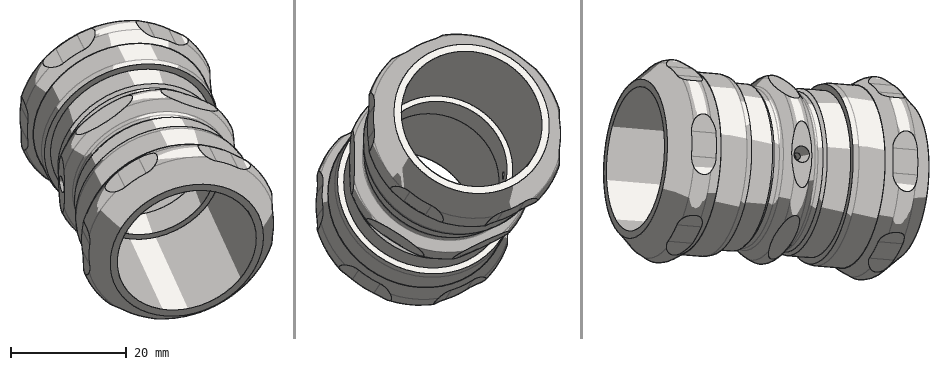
import cadquery as cq
import math

LENGTH = 49.3
HALF_LENGTH = LENGTH / 2

BODY_RADIUS = 29 / 2
NECK_RADIUS = 27.9 / 2
NECK_END_X = 4.6
COLLAR_CREST_RADIUS = 16.38
COLLAR_ROUND = 2.0
COLLAR_SLOPE = 45
COLLAR_ROOT_FILLET = 0.9
COLLAR_FLAT_DISTANCE = 15.3

NUT_RADIUS = 31.7 / 2
NUT_INNER_X = 9.56
NUT_LEAD_LENGTH = 1.0
NUT_LEAD_DROP = 0.25
RIM_START_X = 15.45
RIM_CREST_X = 19.1
RIM_CREST_RADIUS = 35.19 / 2
RIM_ROUND = 2.8
RIM_INNER_SLOPE = 30
RIM_OUTER_SLOPE = 40

SIDES = 6
RECESS_RADIUS = 16.62
RECESS_HALF_FLOOR = 2.2
RECESS_HALF_WIDTH = 5.33
CUT_REACH = 20

BORE_RADIUS = 25 / 2
STOP_RADIUS = 23 / 2
STOP_LENGTH = 6.0

HOLE_RADIUS = 0.6
TAPER_RADIUS = 1.43
TAPER_DEPTH = 2.0


def crest_points(crest_x, crest_radius, round_radius, inner_slope, outer_slope):
    """Start, top and end of a crest arc that is tangent to the cones on both sides."""
    centre_radius = crest_radius - round_radius

    def on_arc(angle):
        tilt = math.radians(angle)
        return (crest_x + round_radius * math.sin(tilt), centre_radius + round_radius * math.cos(tilt))

    return on_arc(-inner_slope), (crest_x, crest_radius), on_arc(outer_slope)


def revolve_about_x(profile):
    return profile.close().revolve(360, (0, 0, 0), (1, 0, 0))


def hexagonal_collar():
    start, top, end = crest_points(0, COLLAR_CREST_RADIUS, COLLAR_ROUND, COLLAR_SLOPE, COLLAR_SLOPE)
    cone_run = (end[1] - NECK_RADIUS) / math.tan(math.radians(COLLAR_SLOPE))
    root_x = end[0] + cone_run
    half_slope = math.radians(COLLAR_SLOPE / 2)
    tangent_length = COLLAR_ROOT_FILLET * math.tan(half_slope)
    neck_x = root_x + tangent_length
    slope = math.radians(COLLAR_SLOPE)
    cone_x = root_x - tangent_length * math.cos(slope)
    cone_radius = NECK_RADIUS + tangent_length * math.sin(slope)
    mid_x = neck_x - COLLAR_ROOT_FILLET * math.sin(half_slope)
    mid_radius = NECK_RADIUS + COLLAR_ROOT_FILLET * (1 - math.cos(half_slope))
    profile = (
        cq.Workplane("XY")
        .moveTo(-neck_x, 0)
        .lineTo(-neck_x, NECK_RADIUS)
        .threePointArc((-mid_x, mid_radius), (-cone_x, cone_radius))
        .lineTo(*start)
        .threePointArc(top, end)
        .lineTo(cone_x, cone_radius)
        .threePointArc((mid_x, mid_radius), (neck_x, NECK_RADIUS))
        .lineTo(neck_x, 0)
    )
    across_corners = 2 * COLLAR_FLAT_DISTANCE / math.cos(math.pi / SIDES)
    hexagon = (
        cq.Workplane("YZ")
        .polygon(SIDES, across_corners)
        .extrude(neck_x, both=True)
        .rotate((0, 0, 0), (1, 0, 0), 90)
    )
    return revolve_about_x(profile).intersect(hexagon)


def centre_tube():
    shoulder_x = NECK_END_X + BODY_RADIUS - NECK_RADIUS
    end_x = RIM_CREST_X
    profile = (
        cq.Workplane("XY")
        .moveTo(-end_x, 0)
        .lineTo(-end_x, BODY_RADIUS)
        .lineTo(-shoulder_x, BODY_RADIUS)
        .lineTo(-NECK_END_X, NECK_RADIUS)
        .lineTo(NECK_END_X, NECK_RADIUS)
        .lineTo(shoulder_x, BODY_RADIUS)
        .lineTo(end_x, BODY_RADIUS)
        .lineTo(end_x, 0)
    )
    return revolve_about_x(profile)


def wrench_recess():
    """Cutter for the -Y side: a floor coaxial with the nut, rising in concave arcs at both ends."""
    edge_y = math.sqrt(RIM_CREST_RADIUS**2 - RECESS_HALF_WIDTH**2)
    floor_angle = math.asin(RECESS_HALF_FLOOR / RECESS_RADIUS)
    floor_y = RECESS_RADIUS * math.cos(floor_angle)
    reach = edge_y * math.cos(floor_angle) + RECESS_HALF_WIDTH * math.sin(floor_angle)
    rise = RECESS_RADIUS**2 + RIM_CREST_RADIUS**2 - 2 * RECESS_RADIUS * reach
    rise_radius = rise / (2 * (reach - RECESS_RADIUS))
    centre_distance = RECESS_RADIUS + rise_radius
    centre_y = centre_distance * math.cos(floor_angle)
    centre_z = centre_distance * math.sin(floor_angle)
    edge_angle = math.atan2(edge_y - centre_y, RECESS_HALF_WIDTH - centre_z)
    start_angle = math.atan2(floor_y - centre_y, RECESS_HALF_FLOOR - centre_z)
    mid_angle = (edge_angle + start_angle) / 2
    mid_y = centre_y + rise_radius * math.sin(mid_angle)
    mid_z = centre_z + rise_radius * math.cos(mid_angle)
    return (
        cq.Workplane("YZ", origin=(RIM_START_X, 0, 0))
        .moveTo(-CUT_REACH, -RECESS_HALF_WIDTH)
        .lineTo(-edge_y, -RECESS_HALF_WIDTH)
        .threePointArc((-mid_y, -mid_z), (-floor_y, -RECESS_HALF_FLOOR))
        .threePointArc((-RECESS_RADIUS, 0), (-floor_y, RECESS_HALF_FLOOR))
        .threePointArc((-mid_y, mid_z), (-edge_y, RECESS_HALF_WIDTH))
        .lineTo(-CUT_REACH, RECESS_HALF_WIDTH)
        .close()
        .extrude(HALF_LENGTH - RIM_START_X)
    )


def compression_nut():
    """Nut on the +X end."""
    start, top, end = crest_points(
        RIM_CREST_X, RIM_CREST_RADIUS, RIM_ROUND, RIM_INNER_SLOPE, RIM_OUTER_SLOPE
    )
    inner_drop = (start[0] - RIM_START_X) * math.tan(math.radians(RIM_INNER_SLOPE))
    outer_drop = (HALF_LENGTH - end[0]) * math.tan(math.radians(RIM_OUTER_SLOPE))
    profile = (
        cq.Workplane("XY")
        .moveTo(NUT_INNER_X, 0)
        .lineTo(NUT_INNER_X, NUT_RADIUS - NUT_LEAD_DROP)
        .lineTo(NUT_INNER_X + NUT_LEAD_LENGTH, NUT_RADIUS)
        .lineTo(RIM_START_X, NUT_RADIUS)
        .lineTo(RIM_START_X, start[1] - inner_drop)
        .lineTo(*start)
        .threePointArc(top, end)
        .lineTo(HALF_LENGTH, end[1] - outer_drop)
        .lineTo(HALF_LENGTH, 0)
    )
    nut = revolve_about_x(profile)
    recess = wrench_recess()
    for side in range(SIDES):
        nut = nut.cut(recess.rotate((0, 0, 0), (1, 0, 0), side * 360 / SIDES))
    return nut


def stepped_bore():
    stop_hole = cq.Workplane("YZ").circle(STOP_RADIUS).extrude(HALF_LENGTH, both=True)
    socket = cq.Workplane("YZ", origin=(STOP_LENGTH / 2, 0, 0)).circle(BORE_RADIUS).extrude(HALF_LENGTH)
    return stop_hole.union(socket).union(socket.mirror("YZ"))


def tapered_hole():
    flat_y = -COLLAR_FLAT_DISTANCE
    profile = (
        cq.Workplane("XY")
        .moveTo(0, flat_y)
        .lineTo(TAPER_RADIUS, flat_y)
        .lineTo(HOLE_RADIUS, flat_y + TAPER_DEPTH)
        .lineTo(HOLE_RADIUS, 0)
        .lineTo(0, 0)
        .close()
    )
    return profile.revolve(360, (0, 0, 0), (0, 1, 0))


nut = compression_nut()
result = centre_tube().union(hexagonal_collar()).union(nut).union(nut.mirror("YZ"))
result = result.cut(stepped_bore()).cut(tapered_hole())